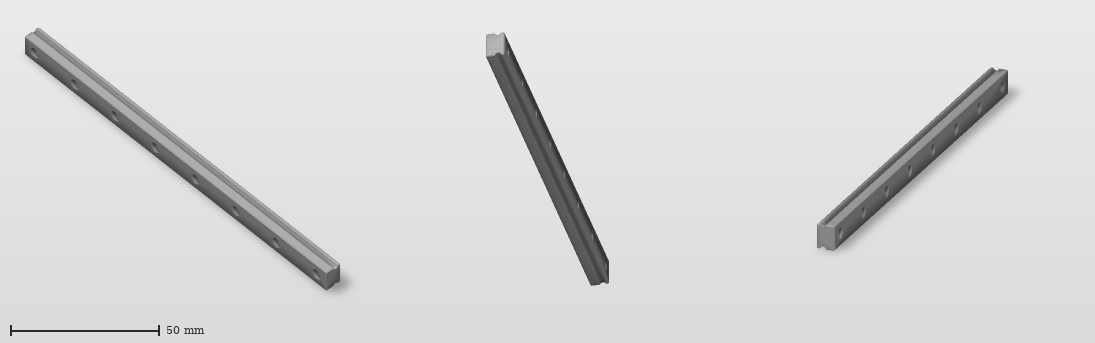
import cadquery as cq
import math

length = 150.0
depth = 6.5
height = 9.0
long_edge_chamfer = 0.3
end_chamfer = 0.3

hole_count = 8
hole_pitch = length / (hole_count - 0.5)
hole_diameter = 3.5
hole_mouth_diameter = 4.0
hole_mouth_angle = 90

groove_radius = 1.12
groove_depth = 0.98
groove_front_from_back = 3.3
groove_wall_from_back = 1.12
bevel_width = 0.38
bevel_depth = 0.22

back = depth / 2
top = height / 2


def make_groove():
    """Cutter for the top groove."""
    front_y = back - groove_front_from_back
    centre_z = top + groove_radius - groove_depth
    centre_y = front_y + math.sqrt(groove_radius**2 - (centre_z - top) ** 2)
    wall_y = back - groove_wall_from_back
    wall_foot_z = centre_z - math.sqrt(groove_radius**2 - (wall_y - centre_y) ** 2)
    return (
        cq.Workplane("YZ")
        .moveTo(front_y, top)
        .threePointArc((centre_y, top - groove_depth), (wall_y, wall_foot_z))
        .lineTo(wall_y, top - bevel_depth)
        .lineTo(wall_y + bevel_width, top)
        .close()
        .extrude(length / 2, both=True)
    )


def make_bar():
    """Bar with its four long edges and the outlines of both ends chamfered."""
    bar = cq.Workplane("XY").box(length, depth, height).edges("|X").chamfer(long_edge_chamfer)
    return bar.faces("<X or >X").chamfer(end_chamfer)


def drill_holes(body):
    """Drill the row of through holes and chamfer their front mouths."""
    return (
        body.faces("<Y")
        .workplane(origin=(0, -back, 0))
        .rarray(hole_pitch, 1.5, hole_count, 1)
        .cskHole(hole_diameter, hole_mouth_diameter, hole_mouth_angle)
    )


top_groove = make_groove()
bottom_groove = top_groove.mirror("XY")
result = drill_holes(make_bar().cut(top_groove).cut(bottom_groove))